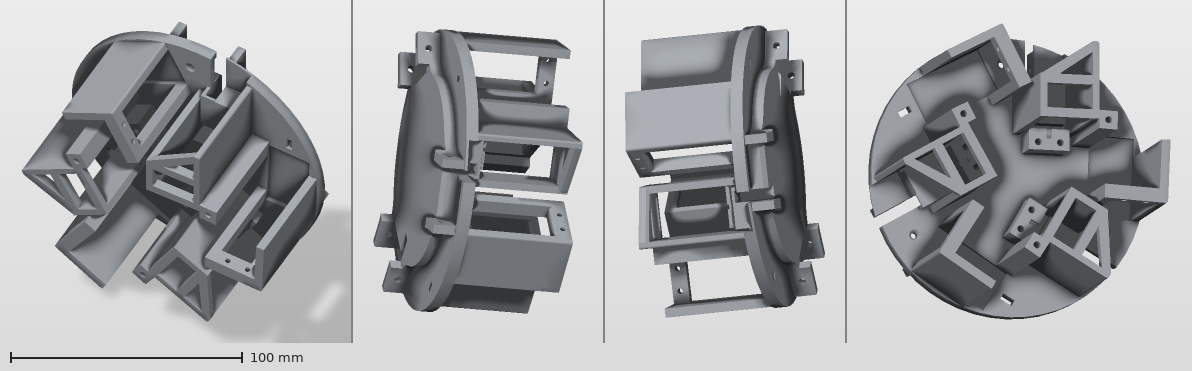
import cadquery as cq
import math

REPEATS = 3

DISC_RADIUS = 61.0
DISC_THICKNESS = 5.4
HOLDER_LENGTH = 46.8
OVERSIZE = 73.2

HUB_HEIGHT = 4.9
HUB_RADIUS = 42.1
LUG_HEIGHT = 9.8
LUG_INNER = 12.6
LUG_OUTER = 16.5
LUG_TOP = 57.1
LUG_FILLET = 15.0
LUG_HOLE_Z = 49.6
LUG_HOLE_DIAMETER = 3.0
LUG_GAP_CHAMFER = 2.0
LUG_POCKET_DEPTH = 2.0

MOUNT_HOLE_X = -2.6
MOUNT_HOLE_DIAMETER = 2.7
MOUNT_SINK_DIAMETER = 4.9
WINDOW_X = (44.9, 47.7)
WINDOW_Z = (23.5, 29.4)

LEFT_WALL_X = (1.8, 5.0)
RIGHT_WALL_X = (25.2, 28.0)
WALL_BOTTOM = 19.2
LEFT_WALL_TOP = 38.2
RIGHT_WALL_TOP = 53.1
RIGHT_WALL_FILLET = 1.0
FRAME_THICKNESS = 4.3
FRAME_CHAMFER = 1.2
SLOPE_START_X = 2.5
FRAME_WINDOW_Z = (23.2, 33.9)
FRAME_TRIANGLE_X = 10.2
FRAME_TRIANGLE_Z = (38.0, 48.4)
BLOCK_X = (6.0, 24.0)
BLOCK_Z = (23.5, HUB_RADIUS)
BLOCK_DEPTH = 6.0
FOOT_Z = (10.7, 20.0)
FOOT_DEPTH = 12.8
FOOT_HOLE_X = (10.1, 20.0)
FOOT_HOLE_Z = 14.1
GROOVE_X = (13.8, 15.9)
GROOVE_BOTTOM = 15.9
GROOVE_DEPTH = 1.3
SCREW_HOLE_DIAMETER = 3.0
SCREW_HOLE_DEPTH = 9.8

SLOT_X = (7.6, 12.7)
SLOT_FLOOR = 29.9
SLOT_LIP = 1.2
RECESS_DEPTH = 4.3
RECESS_FLOOR = 41.6

TILT = 2.4
POCKET_U = (35.5, 55.5)
POCKET_V = (-7.8, 22.1)
POCKET_DEPTH = 2.0
FLANGE_U_START = 31.1
FLANGE_THICKNESS = 6.1
OUTER_WALL_U = 59.4
OUTER_WALL_TOP = 11.5
OUTER_CORNER_FILLET = 1.0
STRIP_WIDTH = 7.1
STRIP_CHAMFER = 1.2
STRIP_HOLE_SPACING = 9.8
STRIP_HOLE_FROM_END = 3.3
STRIP_HOLE_DIAMETER = 2.5
COLUMN_SIZE = 8.0
COLUMN_TOP = 24.3


def block(x, y, z):
    """Box spanning the given (low, high) pairs along X, Y and Z."""
    size = (x[1] - x[0], y[1] - y[0], z[1] - z[0])
    return cq.Workplane("XY").box(*size, centered=False).translate((x[0], y[0], z[0]))


def prism(points, front, back):
    """Polygon of (X, Z) points reaching from Y = front to Y = back."""
    return cq.Workplane("XZ", origin=(0, back, 0)).polyline(points).close().extrude(back - front)


def round_bar(x, z, diameter, front, back):
    """Cylinder along Y from Y = front to Y = back."""
    outline = cq.Workplane("XZ", origin=(0, back, 0)).center(x, z).circle(diameter / 2)
    return outline.extrude(back - front)


def turn(shape, degrees):
    """Turn about the disc axis, clockwise as seen from the front."""
    return shape.rotate((0, 0, 0), (0, 1, 0), degrees)


def around(shape):
    """Copies of the shape spaced evenly about the disc axis."""
    copies = turn(shape, 0)
    for index in range(1, REPEATS):
        copies = copies.union(turn(shape, index * 360 / REPEATS))
    return copies


def lug_outline(height):
    """Lug pair with concave flanks that run tangentially into the hub circle."""
    center_x = LUG_OUTER + LUG_FILLET
    center_distance = HUB_RADIUS + LUG_FILLET
    center_z = math.sqrt(center_distance**2 - center_x**2)
    hub_x = center_x * HUB_RADIUS / center_distance
    hub_z = center_z * HUB_RADIUS / center_distance
    flank_angle = math.atan2(center_z, center_x) / 2
    middle_x = center_x - LUG_FILLET * math.cos(flank_angle)
    middle_z = center_z - LUG_FILLET * math.sin(flank_angle)
    outline = (
        cq.Workplane("XZ", origin=(0, DISC_THICKNESS, 0))
        .moveTo(0, 0)
        .lineTo(hub_x, hub_z)
        .threePointArc((middle_x, middle_z), (LUG_OUTER, center_z))
        .lineTo(LUG_OUTER, LUG_TOP)
        .lineTo(-LUG_OUTER, LUG_TOP)
        .lineTo(-LUG_OUTER, center_z)
        .threePointArc((-middle_x, middle_z), (-hub_x, hub_z))
        .close()
    )
    return outline.extrude(-height)


def lug_gap():
    """Space between two lugs: open above the hub, chamfered, and sunk into the disc."""
    top = DISC_THICKNESS + LUG_HEIGHT
    hub_back = DISC_THICKNESS + HUB_HEIGHT
    gap = block((-LUG_INNER, LUG_INNER), (DISC_THICKNESS, top), (HUB_RADIUS, OVERSIZE))
    sunk = (DISC_THICKNESS - LUG_POCKET_DEPTH, DISC_THICKNESS)
    pocket = block((-LUG_INNER, LUG_INNER), sunk, (HUB_RADIUS, LUG_TOP))
    chamfer = (
        cq.Workplane("YZ", origin=(-LUG_INNER, 0, 0))
        .moveTo(hub_back, HUB_RADIUS)
        .lineTo(hub_back - LUG_GAP_CHAMFER, HUB_RADIUS)
        .lineTo(hub_back, HUB_RADIUS - LUG_GAP_CHAMFER)
        .close()
        .extrude(2 * LUG_INNER)
    )
    hole = (
        cq.Workplane("YZ", origin=(-LUG_OUTER, 0, 0))
        .center(hub_back, LUG_HOLE_Z)
        .circle(LUG_HOLE_DIAMETER / 2)
        .extrude(2 * LUG_OUTER)
    )
    return gap.union(pocket).union(chamfer).union(hole)


def hub():
    """Round hub with three lug pairs; only the lugs beyond the hub flats reach full height."""
    low = round_bar(0, 0, 2 * HUB_RADIUS, DISC_THICKNESS, DISC_THICKNESS + HUB_HEIGHT)
    low = low.union(around(lug_outline(HUB_HEIGHT)))
    beyond_flat = block(
        (-OVERSIZE, OVERSIZE),
        (DISC_THICKNESS, DISC_THICKNESS + LUG_HEIGHT),
        (HUB_RADIUS, OVERSIZE),
    )
    return low.union(around(lug_outline(LUG_HEIGHT).intersect(beyond_flat)))


def edge_bevel(rise):
    """Cutter along X that bevels the disc-side edge of the end frame at Z = 0."""
    back = FRAME_THICKNESS - HOLDER_LENGTH
    profile = cq.Workplane("YZ").polyline([(back, 0), (back - FRAME_CHAMFER, 0), (back, rise)])
    return profile.close().extrude(OVERSIZE, both=True)


def end_frame():
    """Frame across the free end of the upright holder, with a window and a triangle."""
    frame = prism(
        [
            (LEFT_WALL_X[0], WALL_BOTTOM),
            (LEFT_WALL_X[0], LEFT_WALL_TOP),
            (SLOPE_START_X, LEFT_WALL_TOP),
            (RIGHT_WALL_X[0], RIGHT_WALL_TOP),
            (RIGHT_WALL_X[0], WALL_BOTTOM),
        ],
        -HOLDER_LENGTH,
        FRAME_THICKNESS - HOLDER_LENGTH,
    )
    slope_angle = math.atan2(RIGHT_WALL_TOP - LEFT_WALL_TOP, RIGHT_WALL_X[0] - SLOPE_START_X)
    slope_bevel = turn(edge_bevel(-FRAME_CHAMFER), -math.degrees(slope_angle))
    slope_bevel = slope_bevel.translate((SLOPE_START_X, 0, LEFT_WALL_TOP))
    bottom_bevel = edge_bevel(FRAME_CHAMFER).translate((0, 0, WALL_BOTTOM))
    window = block(
        (LEFT_WALL_X[1], RIGHT_WALL_X[0]),
        (-HOLDER_LENGTH, 0),
        FRAME_WINDOW_Z,
    )
    triangle = prism(
        [
            (FRAME_TRIANGLE_X, FRAME_TRIANGLE_Z[0]),
            (RIGHT_WALL_X[0], FRAME_TRIANGLE_Z[0]),
            (RIGHT_WALL_X[0], FRAME_TRIANGLE_Z[1]),
        ],
        -HOLDER_LENGTH,
        0,
    )
    return frame.cut(slope_bevel).cut(bottom_bevel).cut(window).cut(triangle)


def upright_holder():
    """Two parallel walls joined by the end frame, with the block and foot between them."""
    length = (-HOLDER_LENGTH, 0)
    left_wall = block(LEFT_WALL_X, length, (WALL_BOTTOM, LEFT_WALL_TOP))
    right_wall = block(RIGHT_WALL_X, length, (WALL_BOTTOM, RIGHT_WALL_TOP))
    right_wall = right_wall.edges(">X and >Z").fillet(RIGHT_WALL_FILLET)
    upper_block = block(BLOCK_X, (-BLOCK_DEPTH, 0), BLOCK_Z)
    foot = block(BLOCK_X, (-FOOT_DEPTH, 0), FOOT_Z)
    groove = block(GROOVE_X, (-FOOT_DEPTH, GROOVE_DEPTH - FOOT_DEPTH), (GROOVE_BOTTOM, FOOT_Z[1]))
    foot = foot.cut(groove)
    for hole_x in FOOT_HOLE_X:
        hole_end = SCREW_HOLE_DEPTH - FOOT_DEPTH
        foot = foot.cut(round_bar(hole_x, FOOT_HOLE_Z, SCREW_HOLE_DIAMETER, -FOOT_DEPTH, hole_end))
    return left_wall.union(right_wall).union(end_frame()).union(upper_block).union(foot)


def angled_holder():
    """Outer wall and drilled flange forming an L, before its tilt."""
    length = (-HOLDER_LENGTH, 0)
    flange_v = (POCKET_V[0] - FLANGE_THICKNESS, POCKET_V[0])
    flange = block((FLANGE_U_START, OUTER_WALL_U), length, flange_v)
    strip_edge = STRIP_WIDTH - HOLDER_LENGTH
    flange = flange.cut(block(POCKET_U, (strip_edge, 0), flange_v))
    bevel = (
        cq.Workplane("YZ", origin=(POCKET_U[0], 0, 0))
        .moveTo(strip_edge, flange_v[0])
        .lineTo(strip_edge - STRIP_CHAMFER, flange_v[0])
        .lineTo(strip_edge, flange_v[0] + STRIP_CHAMFER)
        .close()
        .extrude(POCKET_U[1] - POCKET_U[0])
    )
    flange = flange.cut(bevel)
    for side in (-0.5, 0.5):
        hole_u = sum(POCKET_U) / 2 + side * STRIP_HOLE_SPACING
        hole = (
            cq.Workplane("XY", origin=(hole_u, STRIP_HOLE_FROM_END - HOLDER_LENGTH, flange_v[0]))
            .circle(STRIP_HOLE_DIAMETER / 2)
            .extrude(FLANGE_THICKNESS)
        )
        flange = flange.cut(hole)
    wall = block((POCKET_U[1], OUTER_WALL_U), length, (flange_v[0], POCKET_V[1]))
    return flange.union(wall).edges("|Y and >X and <Z").fillet(OUTER_CORNER_FILLET)


def column():
    """Screw column beside the pocket, before its tilt."""
    u = (POCKET_U[0] - COLUMN_SIZE, POCKET_U[0])
    v = (COLUMN_TOP - COLUMN_SIZE, COLUMN_TOP)
    post = block((u[0] - COLUMN_SIZE, u[1]), (-HOLDER_LENGTH, 0), v)
    hole_end = SCREW_HOLE_DEPTH - HOLDER_LENGTH
    return post.cut(
        round_bar(sum(u) / 2, sum(v) / 2, SCREW_HOLE_DIAMETER, -HOLDER_LENGTH, hole_end)
    )


def holders():
    """One upright and one angled holder, tied together by the column."""
    length = (-HOLDER_LENGTH, 0)
    within_rim = round_bar(0, 0, 2 * DISC_RADIUS, *length)
    below_wall_top = block((0, OVERSIZE), length, (-OVERSIZE, OUTER_WALL_TOP))
    angled = turn(angled_holder(), TILT).intersect(within_rim).intersect(below_wall_top)
    beside_wall = block((RIGHT_WALL_X[1], OVERSIZE), length, (0, OVERSIZE))
    post = turn(column(), TILT).intersect(beside_wall)
    return upright_holder().union(post).union(angled)


def disc_cuts():
    """Slot, recess, pocket and holes of one third of the disc."""
    back = DISC_THICKNESS + LUG_HEIGHT
    slot = block(SLOT_X, (SLOT_LIP - BLOCK_DEPTH, back), (SLOT_FLOOR, OVERSIZE))
    recess = block(
        (SLOT_X[1], RIGHT_WALL_X[0]), (-BLOCK_DEPTH, RECESS_DEPTH), (RECESS_FLOOR, OVERSIZE)
    )
    pocket_v = (POCKET_V[0] - FLANGE_THICKNESS, POCKET_V[1])
    pocket = turn(block(POCKET_U, (0, POCKET_DEPTH), pocket_v), TILT)
    window = block(WINDOW_X, (0, DISC_THICKNESS), WINDOW_Z)
    mount_hole = round_bar(MOUNT_HOLE_X, LUG_HOLE_Z, MOUNT_HOLE_DIAMETER, 0, DISC_THICKNESS)
    countersink = cq.Workplane("XY").add(
        cq.Solid.makeCone(
            MOUNT_SINK_DIAMETER / 2,
            MOUNT_HOLE_DIAMETER / 2,
            (MOUNT_SINK_DIAMETER - MOUNT_HOLE_DIAMETER) / 2,
            pnt=cq.Vector(MOUNT_HOLE_X, 0, LUG_HOLE_Z),
            dir=cq.Vector(0, 1, 0),
        )
    )
    cuts = slot.union(recess).union(pocket).union(window)
    return cuts.union(mount_hole).union(countersink).union(lug_gap())


disc = round_bar(0, 0, 2 * DISC_RADIUS, 0, DISC_THICKNESS)
result = disc.union(hub()).union(around(holders())).cut(around(disc_cuts()))